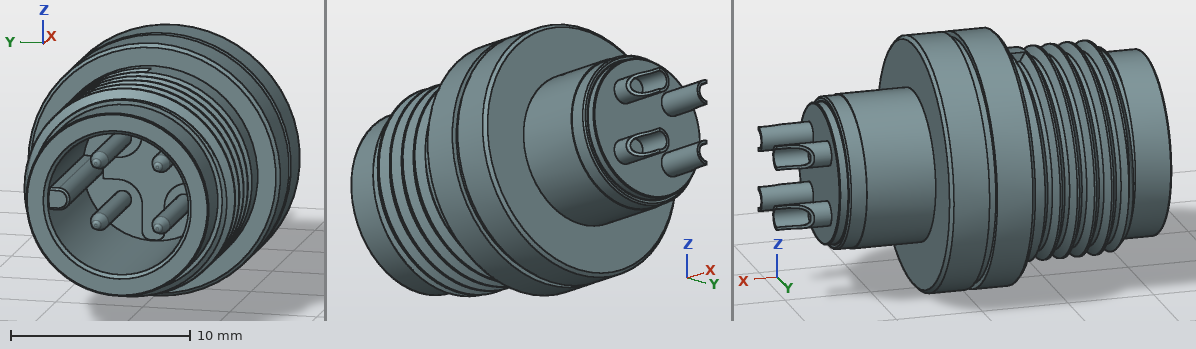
import cadquery as cq
import math


overall_length = 22.0
thread_start = 2.2
flange_start = 8.5
flange_end = 13.5
tail_step = 17.5
shell_end = 18.5
insert_end = 19.0
insert_face = 8.5

nose_radius = 5.25
nose_chamfer = 0.07
flange_radius = 7.25
flange_chamfer = 0.2
flange_groove_width = 0.45
flange_groove_depth = 0.3
tail_radius = 4.35
tail_end_radius = 4.3
tail_chamfer = 0.1
bore_radius = 4.05
bore_chamfer = 0.2

thread_radius = 6.0
thread_pitch = 1.0
thread_depth = 0.52
thread_crest = 0.125
thread_lead_chamfer = 0.5
flank_slope = math.tan(math.radians(30))
thread_groove_end = 7.43
thread_turns = 6
groove_clearance = 0.2

insert_rear_radius = 4.0
insert_rear_chamfer = 0.06
key_front = 0.5
key_half_width = 0.63
key_reach = 2.88
key_chamfer = 0.13

inlay_arm_width = 1.27
inlay_arm_reach = 4.0
inlay_tip_radius = 0.45
inlay_inner_radius = 1.4
inlay_depth = 1.0

pin_circle_radius = 2.5
pin_offset = pin_circle_radius / math.sqrt(2)
pin_radius = 0.5
pin_front = 2.15
pin_cone_length = 0.9
pin_tip_radius = 0.22
pin_tip_rounding = 0.2
pin_step = 15.0
cup_radius = 0.7
cup_bore_radius = 0.53
cup_bore_depth = 2.0
cup_cut_start = 20.0
cup_cut_flat = 21.45


def revolve_about_x(outline):
    return outline.close().revolve(360, (0, 0, 0), (1, 0, 0))


def disc(start, end, radius):
    return cq.Workplane("YZ", origin=(start, 0, 0)).circle(radius).extrude(end - start)


def make_shell_blank():
    groove_middle = (flange_start + flange_end) / 2
    groove_start = groove_middle - flange_groove_width / 2
    groove_stop = groove_middle + flange_groove_width / 2
    groove_radius = flange_radius - flange_groove_depth
    outline = (
        cq.Workplane("XY")
        .moveTo(0, bore_radius + bore_chamfer)
        .lineTo(0, nose_radius - nose_chamfer)
        .lineTo(nose_chamfer, nose_radius)
        .lineTo(thread_start, nose_radius)
        .lineTo(thread_start, thread_radius - thread_lead_chamfer)
        .lineTo(thread_start + thread_lead_chamfer, thread_radius)
        .lineTo(flange_start, thread_radius)
        .lineTo(flange_start, flange_radius - flange_chamfer)
        .lineTo(flange_start + flange_chamfer, flange_radius)
        .lineTo(groove_start, flange_radius)
        .lineTo(groove_start, groove_radius)
        .lineTo(groove_stop, groove_radius)
        .lineTo(groove_stop, flange_radius)
        .lineTo(flange_end - flange_chamfer, flange_radius)
        .lineTo(flange_end, flange_radius - flange_chamfer)
        .lineTo(flange_end, tail_radius)
        .lineTo(tail_step, tail_radius)
        .lineTo(tail_step, tail_end_radius)
        .lineTo(shell_end - tail_chamfer, tail_end_radius)
        .lineTo(shell_end, tail_end_radius - tail_chamfer)
        .lineTo(shell_end, bore_radius)
        .lineTo(bore_chamfer, bore_radius)
    )
    return revolve_about_x(outline)


def make_thread_groove():
    """Helical cutter, swept along Z and then laid along X so that it ends on the +Z side."""
    helix_length = thread_turns * thread_pitch
    root_radius = thread_radius - thread_depth
    outer_radius = thread_radius + groove_clearance
    crest_half_width = (thread_pitch - thread_crest) / 2
    root_half_width = crest_half_width - thread_depth * flank_slope
    outer_half_width = crest_half_width + groove_clearance * flank_slope
    helix = cq.Wire.makeHelix(thread_pitch, helix_length, root_radius)
    cutter = (
        cq.Workplane("XZ")
        .moveTo(root_radius, -root_half_width)
        .lineTo(outer_radius, -outer_half_width)
        .lineTo(outer_radius, outer_half_width)
        .lineTo(root_radius, root_half_width)
        .close()
        .sweep(cq.Workplane(helix), isFrenet=True)
    )
    return (
        cutter
        .rotate((0, 0, 0), (0, 1, 0), 90)
        .rotate((0, 0, 0), (1, 0, 0), 180)
        .translate((thread_groove_end - helix_length, 0, 0))
    )


def make_shell():
    return make_shell_blank().cut(make_thread_groove())


def make_key():
    """Round-topped rib on the +Y side of the bore."""
    round_centre = key_reach + key_half_width
    rib = (
        cq.Workplane("YZ", origin=(key_front, 0, 0))
        .moveTo(bore_radius, -key_half_width)
        .lineTo(round_centre, -key_half_width)
        .threePointArc((key_reach, 0), (round_centre, key_half_width))
        .lineTo(bore_radius, key_half_width)
        .close()
        .extrude(insert_face - key_front)
        .faces("<X").edges("not >Y").chamfer(key_chamfer)
    )
    return rib.intersect(disc(0, insert_face, bore_radius))


def make_inlay():
    long_arm = 2 * inlay_arm_reach
    depth_centre = insert_face + inlay_depth / 2
    upright = (
        cq.Workplane("XY", origin=(depth_centre, 0, 0))
        .box(inlay_depth, inlay_arm_width, long_arm)
        .edges("|X").fillet(inlay_tip_radius)
    )
    crossbar = (
        cq.Workplane("XY", origin=(depth_centre, (key_reach - inlay_arm_reach) / 2, 0))
        .box(inlay_depth, key_reach + inlay_arm_reach, inlay_arm_width)
        .edges("|X and <Y").fillet(inlay_tip_radius)
    )
    corner = inlay_arm_width / 2
    inner_corners = cq.selectors.BoxSelector(
        (insert_face - inlay_depth, -2 * corner, -2 * corner),
        (insert_face + 2 * inlay_depth, 2 * corner, 2 * corner),
    )
    return upright.union(crossbar).edges("|X").edges(inner_corners).fillet(inlay_inner_radius)


def make_pin(y_side, z_side):
    """Pin with a tapered tip and a solder cup that opens away from the XZ plane."""
    outline = (
        cq.Workplane("XY")
        .moveTo(pin_front, 0)
        .lineTo(pin_front, pin_tip_radius)
        .lineTo(pin_front + pin_cone_length, pin_radius)
        .lineTo(pin_step, pin_radius)
        .lineTo(pin_step, cup_radius)
        .lineTo(overall_length, cup_radius)
        .lineTo(overall_length, 0)
    )
    body = revolve_about_x(outline).faces("<X").edges().fillet(pin_tip_rounding)
    cup_bore = disc(overall_length - cup_bore_depth, overall_length, cup_bore_radius)

    cut_run = cup_cut_flat - cup_cut_start
    cut_arc_radius = (cut_run**2 + cup_radius**2) / (2 * cup_radius)
    side_cut = (
        cq.Workplane("XY", origin=(0, 0, -cup_radius))
        .moveTo(overall_length, 0)
        .lineTo(cup_cut_flat, 0)
        .radiusArc((cup_cut_start, cup_radius), cut_arc_radius)
        .lineTo(overall_length, cup_radius)
        .close()
        .extrude(2 * cup_radius)
    )
    pin = body.cut(cup_bore).cut(side_cut)
    if y_side < 0:
        pin = pin.mirror("XZ")
    return pin.translate((0, y_side * pin_offset, z_side * pin_offset))


def make_insert(inlay, pins):
    front = disc(insert_face, shell_end, bore_radius)
    rear = disc(shell_end, insert_end, insert_rear_radius).faces(">X").chamfer(insert_rear_chamfer)
    insert = front.union(rear).union(make_key()).cut(inlay)
    for pin in pins:
        insert = insert.cut(pin)
    return insert


shell = make_shell()
inlay = make_inlay()
pins = [make_pin(y_side, z_side) for y_side in (-1, 1) for z_side in (-1, 1)]
insert = make_insert(inlay, pins)

result = cq.Compound.makeCompound([
    shell.solids().val(),
    insert.solids().val(),
    inlay.solids().val(),
    *[pin.solids().val() for pin in pins],
])